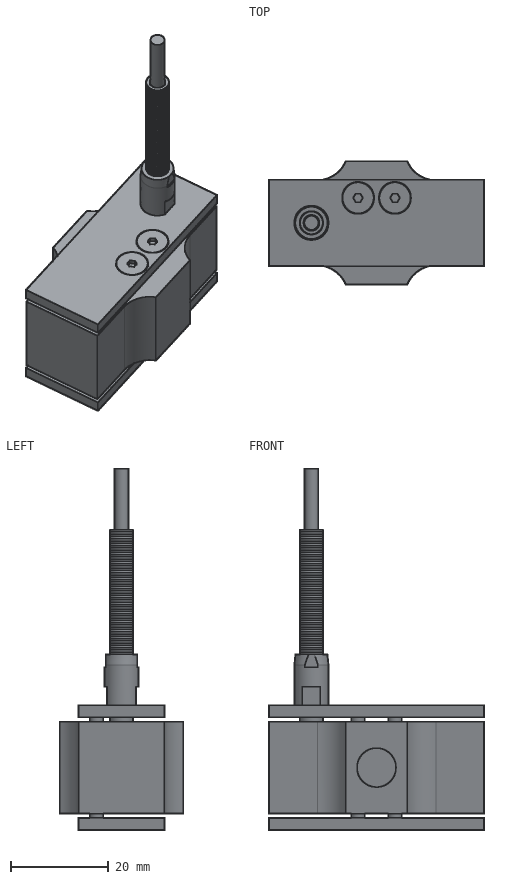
import cadquery as cq
import math

LENGTH = 44.2
PLATE_WIDTH = 17.75
BLOCK_WIDTH = 17.5
OVERALL_WIDTH = 25.4
PLATE_THICKNESS = 2.5
GAP = 0.9
BLOCK_HEIGHT = 18.85
BLOCK_BOTTOM = PLATE_THICKNESS + GAP
BLOCK_MIDDLE = BLOCK_BOTTOM + BLOCK_HEIGHT / 2
BLOCK_TOP = BLOCK_BOTTOM + BLOCK_HEIGHT
TOP_PLATE_BOTTOM = BLOCK_TOP + GAP
TOP_PLATE_TOP = TOP_PLATE_BOTTOM + PLATE_THICKNESS

BOSS_FACE_LENGTH = 12.6
FLANK_RADIUS = 6.4
BOSS_PROJECTION = (OVERALL_WIDTH - BLOCK_WIDTH) / 2

BORE_DIAMETER = 8.0
BORE_DEPTH = OVERALL_WIDTH / 2

SCREW_SPACING = 7.6
SCREW_Y = 5.1
SCREW_POINTS = [(-SCREW_SPACING / 2, SCREW_Y), (SCREW_SPACING / 2, SCREW_Y)]
SHANK_DIAMETER = 2.8
SHANK_END = BLOCK_MIDDLE
HEAD_DIAMETER = 6.4
RECESS_DIAMETER = 6.6
HEAD_HEIGHT = 1.7
HEAD_SEAT = TOP_PLATE_TOP - HEAD_HEIGHT
SOCKET_ACROSS_FLATS = 1.7
SOCKET_DEPTH = 0.9
SOCKET_TURN = 30

GLAND_X = -13.4
STEM_DIAMETER = 4.8
GLAND_DIAMETER = 7.05
GLAND_NECK_Z = 33.9
GLAND_TOP = 36.1
GLAND_TOP_DIAMETER = 6.6
LOWER_ACROSS_FLATS = 6.0
LOWER_FLAT_HEIGHT = 3.7
UPPER_ACROSS_FLATS = 6.5
UPPER_FLAT_BOTTOM = 33.5

SLEEVE_DIAMETER = 4.8
SLEEVE_BORE = 3.3
SLEEVE_TOP = 61.7
RING_COUNT = 55
RING_PITCH = (SLEEVE_TOP - GLAND_TOP) / RING_COUNT
RING_RADIUS = 0.4

CABLE_DIAMETER = 2.9
CABLE_TOP = 74.25


def cylinder(x, y, diameter, bottom, top):
    return cq.Workplane("XY", origin=(x, y, bottom)).circle(diameter / 2).extrude(top - bottom)


def plate(bottom):
    outline = cq.Workplane("XY", origin=(0, 0, bottom)).rect(LENGTH, PLATE_WIDTH)
    return outline.extrude(PLATE_THICKNESS)


def boss():
    """Boss on the -Y face of the block."""
    tip = BOSS_FACE_LENGTH / 2
    face_y = -BLOCK_WIDTH / 2
    tip_y = -OVERALL_WIDTH / 2
    sweep = math.acos(1 - BOSS_PROJECTION / FLANK_RADIUS)
    root = tip + FLANK_RADIUS * math.sin(sweep)
    mid_x = root - FLANK_RADIUS * math.sin(sweep / 2)
    mid_y = face_y - FLANK_RADIUS * (1 - math.cos(sweep / 2))
    outline = (
        cq.Workplane("XY", origin=(0, 0, BLOCK_BOTTOM))
        .moveTo(root, 0)
        .lineTo(root, face_y)
        .threePointArc((mid_x, mid_y), (tip, tip_y))
        .lineTo(-tip, tip_y)
        .threePointArc((-mid_x, mid_y), (-root, face_y))
        .lineTo(-root, 0)
        .close()
    )
    return outline.extrude(BLOCK_HEIGHT)


def block():
    core = cq.Workplane("XY", origin=(0, 0, BLOCK_BOTTOM)).rect(LENGTH, BLOCK_WIDTH).extrude(BLOCK_HEIGHT)
    front_boss = boss()
    bore = (
        cq.Workplane("XZ", origin=(0, -OVERALL_WIDTH / 2, BLOCK_MIDDLE))
        .circle(BORE_DIAMETER / 2)
        .extrude(-BORE_DEPTH)
    )
    return core.union(front_boss).union(front_boss.mirror("XZ")).cut(bore)


def flat_pair(across_flats, bottom, top):
    """Material outside two flats that face -Y and +Y on the gland."""
    depth = GLAND_DIAMETER
    offset = (across_flats + depth) / 2
    return (
        cq.Workplane("XY", origin=(GLAND_X, 0, bottom))
        .pushPoints([(0, -offset), (0, offset)])
        .rect(2 * GLAND_DIAMETER, depth)
        .extrude(top - bottom)
    )


def gland():
    stem = cylinder(GLAND_X, 0, STEM_DIAMETER, BLOCK_TOP, TOP_PLATE_TOP)
    barrel = cylinder(GLAND_X, 0, GLAND_DIAMETER, TOP_PLATE_TOP, GLAND_NECK_Z)
    cap = (
        cq.Workplane("XY", origin=(GLAND_X, 0, GLAND_NECK_Z))
        .circle(GLAND_DIAMETER / 2)
        .workplane(offset=GLAND_TOP - GLAND_NECK_Z)
        .circle(GLAND_TOP_DIAMETER / 2)
        .loft()
    )
    lower_flats = flat_pair(LOWER_ACROSS_FLATS, TOP_PLATE_TOP, TOP_PLATE_TOP + LOWER_FLAT_HEIGHT)
    upper_flats = flat_pair(UPPER_ACROSS_FLATS, UPPER_FLAT_BOTTOM, GLAND_TOP)
    return barrel.union(cap).cut(lower_flats).cut(upper_flats).union(stem)


def sleeve():
    """Sleeve turned in one profile; neighbouring rings meet in a shallow valley."""
    bore = SLEEVE_BORE / 2
    crest = SLEEVE_DIAMETER / 2
    valley = crest - RING_RADIUS + math.sqrt(RING_RADIUS**2 - (RING_PITCH / 2) ** 2)
    profile = cq.Workplane("XZ", origin=(GLAND_X, 0, 0)).moveTo(bore, GLAND_TOP).lineTo(valley, GLAND_TOP)
    for ring in range(RING_COUNT):
        ring_bottom = GLAND_TOP + ring * RING_PITCH
        profile = profile.threePointArc(
            (crest, ring_bottom + RING_PITCH / 2),
            (valley, ring_bottom + RING_PITCH),
        )
    profile = profile.lineTo(bore, SLEEVE_TOP).close()
    return profile.revolve(360, (0, 0, 0), (0, 1, 0))


def cable():
    return cylinder(GLAND_X, 0, CABLE_DIAMETER, GLAND_TOP, CABLE_TOP)


def screw(x, y):
    shank = cylinder(x, y, SHANK_DIAMETER, SHANK_END, HEAD_SEAT)
    head = cylinder(x, y, HEAD_DIAMETER, HEAD_SEAT, TOP_PLATE_TOP)
    socket = (
        cq.Workplane("XY", origin=(x, y, TOP_PLATE_TOP))
        .transformed(rotate=(0, 0, SOCKET_TURN))
        .polygon(6, SOCKET_ACROSS_FLATS, circumscribed=True)
        .extrude(-SOCKET_DEPTH)
    )
    return shank.union(head).cut(socket)


def cell_body():
    """Block, plates, posts, gland, sleeve and cable as one solid, with seats for the screws."""
    body = block().union(plate(0)).union(plate(TOP_PLATE_BOTTOM))
    body = body.union(gland()).union(sleeve()).union(cable())
    for x, y in SCREW_POINTS:
        post = cylinder(x, y, SHANK_DIAMETER, PLATE_THICKNESS, BLOCK_BOTTOM)
        head_recess = cylinder(x, y, RECESS_DIAMETER, HEAD_SEAT, TOP_PLATE_TOP)
        shank_hole = cylinder(x, y, SHANK_DIAMETER, SHANK_END, HEAD_SEAT)
        body = body.union(post).cut(head_recess).cut(shank_hole)
    return body


load_cell = cell_body()
screws = [screw(x, y) for x, y in SCREW_POINTS]

result = cq.Compound.makeCompound([load_cell.val(), *[item.val() for item in screws]])